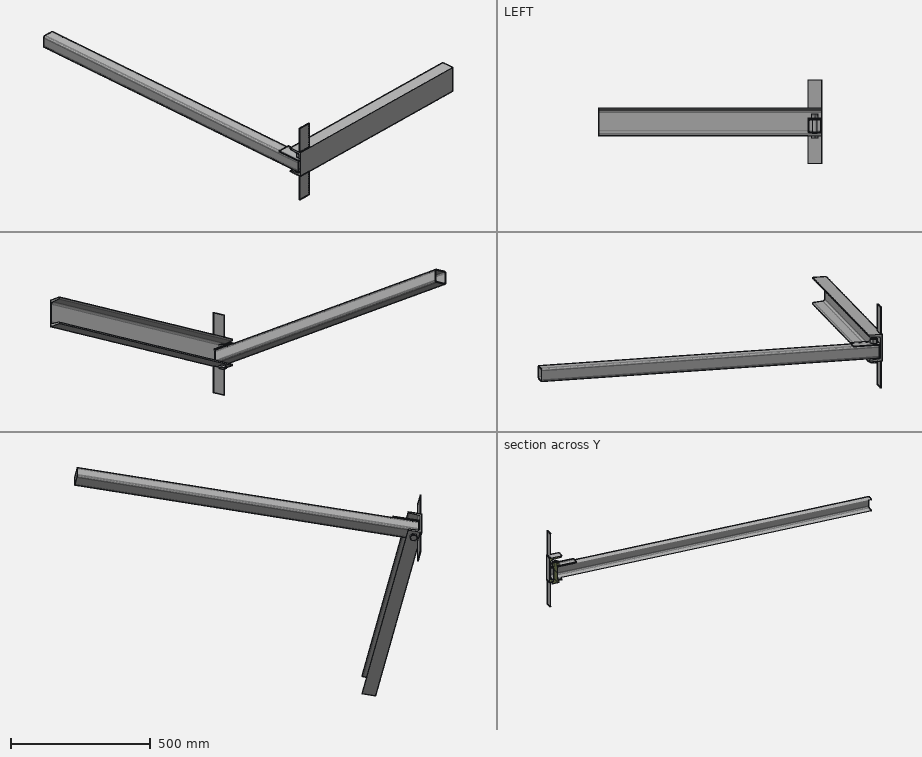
import cadquery as cq
import math

overall_x = 1261.0
overall_y = 800.0
overall_z = 300.0

channel_height = overall_z / 3
flange_width = channel_height / 2
web_thickness = 6.0
flange_thickness = 8.5
flange_slope = 0.08
root_radius = 8.0
toe_radius = 4.5

tube_size = flange_width
tube_wall = 4.0
tube_radius = 8.0
tube_inner_radius = tube_radius - tube_wall
tube_end_gap = 5.0
tube_lift = 10.0

plate_width = tube_size
cover_length = 2 * plate_width
cover_thickness = 3.0
wing_height = channel_height
wing_thickness = 4.0
wing_setback = 3.0

shank_diameter = 16.0
thread_diameter = 14.0
hex_across_flats = 24.0
head_height = 9.0
nut_height = 15.0

channel_base = -channel_height / 2
channel_top = channel_height / 2
web_face_x = overall_x - web_thickness
bolt_x = overall_x - flange_width / 2
bolt_y = tube_size / 2
tube_length = web_face_x - tube_end_gap
tube_base = channel_base + tube_lift
tube_top = tube_base + tube_size
cover_top = tube_top + cover_thickness
nut_top = cover_top + nut_height
hex_across_corners = hex_across_flats / math.cos(math.pi / 6)


def bolt_cylinder(diameter, bottom, top):
    """Cylinder on the bolt axis between two heights."""
    return (
        cq.Workplane("XY", origin=(bolt_x, bolt_y, bottom))
        .circle(diameter / 2)
        .extrude(top - bottom)
    )


def hexagon_prism(bottom, height):
    """Hexagon on the bolt axis with two flats facing -Y and +Y."""
    return (
        cq.Workplane("XY", origin=(bolt_x, bolt_y, bottom))
        .polygon(6, hex_across_corners)
        .extrude(height)
    )


def make_channel():
    half_flange = flange_width / 2
    toe_x = overall_x - flange_width
    toe_thickness = flange_thickness - flange_slope * half_flange
    root_thickness = flange_thickness + flange_slope * (half_flange - web_thickness)
    profile = [
        (overall_x, channel_base),
        (overall_x, channel_top),
        (toe_x, channel_top),
        (toe_x, channel_top - toe_thickness),
        (web_face_x, channel_top - root_thickness),
        (web_face_x, channel_base + root_thickness),
        (toe_x, channel_base + toe_thickness),
        (toe_x, channel_base),
    ]
    channel = cq.Workplane("XZ").polyline(profile).close().extrude(-overall_y)
    for side in (-1, 1):
        root_point = (web_face_x, overall_y / 2, side * (channel_top - root_thickness))
        toe_point = (toe_x, overall_y / 2, side * (channel_top - toe_thickness))
        channel = channel.edges(cq.NearestToPointSelector(root_point)).fillet(root_radius)
        channel = channel.edges(cq.NearestToPointSelector(toe_point)).fillet(toe_radius)
    return channel.cut(bolt_cylinder(shank_diameter, channel_base, tube_base))


def make_tube():
    def square_bar(size, radius):
        return (
            cq.Workplane("YZ", origin=(0, bolt_y, tube_base + tube_size / 2))
            .rect(size, size)
            .extrude(tube_length)
            .edges("|X")
            .fillet(radius)
        )

    tube = square_bar(tube_size, tube_radius)
    tube = tube.cut(square_bar(tube_size - 2 * tube_wall, tube_inner_radius))
    return tube.cut(bolt_cylinder(shank_diameter, tube_base, tube_top))


def make_cover_plate():
    plate = cq.Workplane("XY", origin=(web_face_x - cover_length, 0, tube_top)).box(
        cover_length, plate_width, cover_thickness, centered=False
    )
    return plate.cut(bolt_cylinder(shank_diameter, tube_top, cover_top))


def make_wing_plate(bottom):
    wing_x = overall_x - wing_setback - wing_thickness
    return cq.Workplane("XY", origin=(wing_x, 0, bottom)).box(
        wing_thickness, plate_width, wing_height, centered=False
    )


def make_bolt():
    head = hexagon_prism(channel_base - head_height, head_height)
    shank = bolt_cylinder(shank_diameter, channel_base, cover_top)
    thread = bolt_cylinder(thread_diameter, cover_top, nut_top)
    return head.union(shank).union(thread)


def make_nut():
    nut = hexagon_prism(cover_top, nut_height)
    return nut.cut(bolt_cylinder(thread_diameter, cover_top, nut_top))


channel = make_channel()
tube = make_tube()
cover_plate = make_cover_plate()
wing_plates = [make_wing_plate(bottom) for bottom in (channel_top, channel_base - wing_height)]
bolt = make_bolt()
nut = make_nut()

result = cq.Compound.makeCompound(
    [
        channel.val(),
        tube.val(),
        cover_plate.val(),
        *[wing.val() for wing in wing_plates],
        bolt.val(),
        nut.val(),
    ]
)